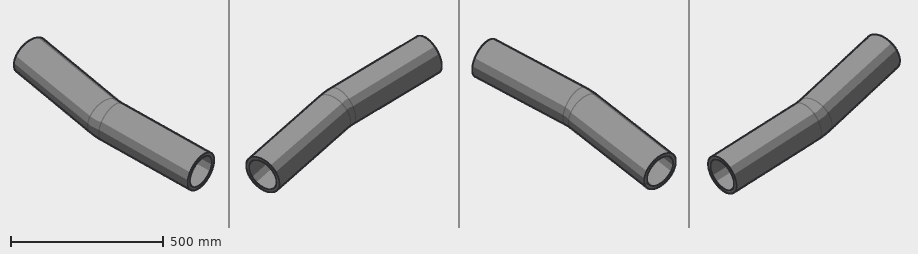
import cadquery as cq
import math

overall_length = 796.0
outer_diameter = 140.0
inner_diameter = 115.0
bend_angle = 11.0
bend_radius = 199.0

angle = math.radians(bend_angle)
outer_radius = outer_diameter / 2
leg_length = (overall_length - (bend_radius + outer_radius) * math.sin(angle)) / (1 + math.cos(angle))

elbow_end_x = leg_length + bend_radius * math.sin(angle)
elbow_end_y = bend_radius * (1 - math.cos(angle))


def ring(plane):
    """Annular pipe section centred on the given plane."""
    return cq.Workplane(plane).circle(outer_diameter / 2).circle(inner_diameter / 2)


def straight_leg(start, direction):
    """Straight pipe starting at a centreline point."""
    plane = cq.Plane(origin=start, xDir=(0, 0, 1), normal=direction)
    return ring(plane).extrude(leg_length)


def elbow():
    """Pipe section revolved about a vertical axis on the +Y side."""
    plane = cq.Plane(origin=(leg_length, 0, 0), xDir=(0, 1, 0), normal=(1, 0, 0))
    return ring(plane).revolve(bend_angle, (bend_radius, 0, 0), (bend_radius, 1, 0))


first_leg = straight_leg((0, 0, 0), (1, 0, 0))
second_leg = straight_leg((elbow_end_x, elbow_end_y, 0), (math.cos(angle), math.sin(angle), 0))

result = first_leg.union(elbow()).union(second_leg)